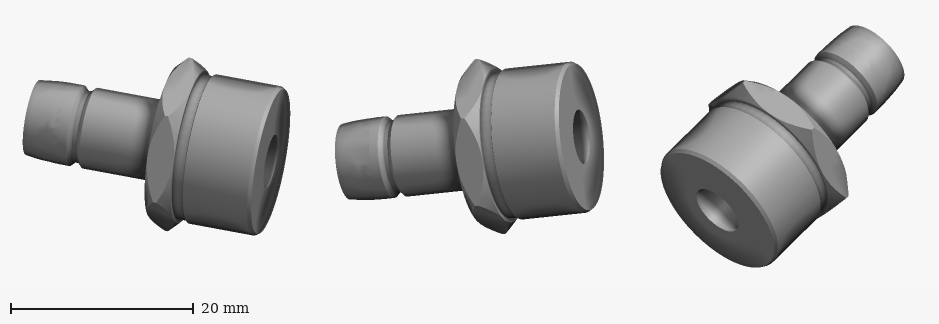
import cadquery as cq
import math

length = 27.0
tip_end = 4.0
groove_start = 5.02
groove_end = 6.5
hex_start = 15.0
hex_width = 3.0
neck_width = 1.2
shoulder_width = 0.1

bore_diameter = 6.0
tip_diameter = 8.35
hose_diameter = 9.0
groove_diameter = 8.0
hex_across_flats = 17.0
neck_diameter = 16.1
collar_diameter = 16.63

end_chamfer_width = 0.4
end_chamfer_angle = 30.0

hex_end = hex_start + hex_width
collar_start = hex_end + neck_width


def x_cylinder(start, end, diameter):
    """Solid cylinder on the X axis between two stations."""
    return cq.Workplane("YZ", origin=(start, 0, 0)).circle(diameter / 2).extrude(end - start)


def hose_spigot():
    """Hose tail: a bulged tip running tangent into the tube, then a groove with 45 degree flanks."""
    hose_radius = hose_diameter / 2
    groove_radius = groove_diameter / 2
    groove_depth = hose_radius - groove_radius
    return (
        cq.Workplane("XY")
        .moveTo(hex_start, 0)
        .lineTo(hex_start, hose_radius)
        .lineTo(groove_end, hose_radius)
        .lineTo(groove_end - groove_depth, groove_radius)
        .lineTo(groove_start + groove_depth, groove_radius)
        .lineTo(groove_start, hose_radius)
        .lineTo(tip_end, hose_radius)
        .tangentArcPoint((0, tip_diameter / 2), relative=False)
        .lineTo(0, 0)
        .close()
        .revolve(360, (0, 0, 0), (1, 0, 0))
    )


def hex_flange():
    """Hexagon with corners on +Y and -Y, both faces chamfered at 45 degrees from the inscribed circle."""
    across_corners = hex_across_flats / math.cos(math.pi / 6)
    corner_height = (across_corners - hex_across_flats) / 2
    prism = cq.Workplane("YZ", origin=(hex_start, 0, 0)).polygon(6, across_corners).extrude(hex_width)
    chamfered_disc = x_cylinder(hex_start, hex_end, across_corners).edges("%CIRCLE").chamfer(corner_height)
    return prism.intersect(chamfered_disc)


def neck_and_collar():
    """Neck behind the hexagon, a steep conical shoulder, and the collar with its chamfered free end."""
    neck_radius = neck_diameter / 2
    collar_radius = collar_diameter / 2
    end_chamfer_depth = end_chamfer_width * math.tan(math.radians(end_chamfer_angle))
    return (
        cq.Workplane("XY")
        .moveTo(hex_end, 0)
        .lineTo(hex_end, neck_radius)
        .lineTo(collar_start, neck_radius)
        .lineTo(collar_start + shoulder_width, collar_radius)
        .lineTo(length - end_chamfer_width, collar_radius)
        .lineTo(length, collar_radius - end_chamfer_depth)
        .lineTo(length, 0)
        .close()
        .revolve(360, (0, 0, 0), (1, 0, 0))
    )


bore = x_cylinder(0, length, bore_diameter)

result = hose_spigot().union(hex_flange()).union(neck_and_collar()).cut(bore)